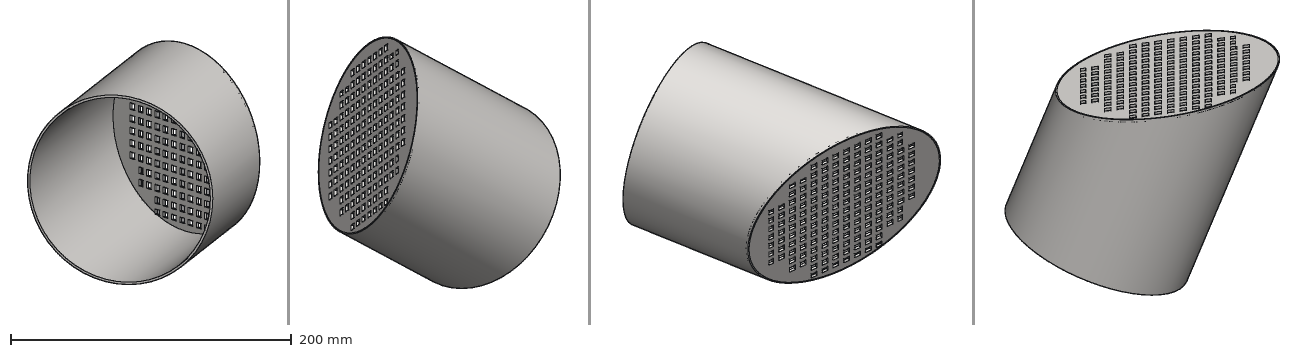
import cadquery as cq
import math

tube_diameter = 140.0
tube_length = 181.9
bore_diameter = 136.4
cut_angle = 30.0

grate_diameter = 138.2
grate_thickness = 2.0

hole_size = 4.7
hole_pitch = 9.1
hole_offset_across = -0.24
hole_offset_up = -0.1
hole_reach = 7

long_half = 63.0
middle_half = 49.0
short_half = 31.5
stepped_area = [
    (short_half, long_half),
    (middle_half, middle_half),
    (long_half, short_half),
]

slope = math.radians(cut_angle)
axis_length = tube_length - tube_diameter / 2 * math.tan(slope)

end_plane = cq.Plane(
    origin=(0, axis_length, 0),
    xDir=(-math.cos(slope), math.sin(slope), 0),
    normal=(math.sin(slope), math.cos(slope), 0),
)


def cylinder(diameter):
    """Cylinder along the tube axis, from y = 0 to the full tube length."""
    return cq.Workplane("XZ").circle(diameter / 2).extrude(-tube_length)


def slab(bottom, height):
    """Wide block parallel to the oblique end, starting `bottom` along its normal."""
    side = 4 * tube_length
    return cq.Workplane(end_plane).workplane(offset=bottom).rect(side, side).extrude(height)


def make_grate_disc():
    return cylinder(grate_diameter).intersect(slab(-grate_thickness, grate_thickness))


def make_tube():
    outside = cylinder(tube_diameter).cut(slab(0, 2 * tube_length))
    return outside.cut(cylinder(bore_diameter)).cut(make_grate_disc())


def make_hole_area():
    """Prism of the stepped area through the grate."""
    seat = cq.Workplane(end_plane).workplane(offset=-grate_thickness)
    area = cq.Workplane(end_plane)
    for half_width, half_height in stepped_area:
        area = area.union(seat.rect(2 * half_width, 2 * half_height).extrude(grate_thickness))
    return area


def make_holes():
    """Grid of square holes, trimmed to the stepped area."""
    steps = range(-hole_reach, hole_reach + 1)
    corners = [
        (hole_offset_across + column * hole_pitch, hole_offset_up + row * hole_pitch)
        for column in steps
        for row in steps
    ]
    grid = (
        cq.Workplane(end_plane)
        .workplane(offset=-grate_thickness)
        .pushPoints(corners)
        .rect(hole_size, hole_size, centered=False)
        .extrude(grate_thickness)
    )
    return grid.intersect(make_hole_area())


def make_grate():
    return make_grate_disc().cut(make_holes())


tube = make_tube()
grate = make_grate()

result = cq.Compound.makeCompound([tube.val(), grate.val()])